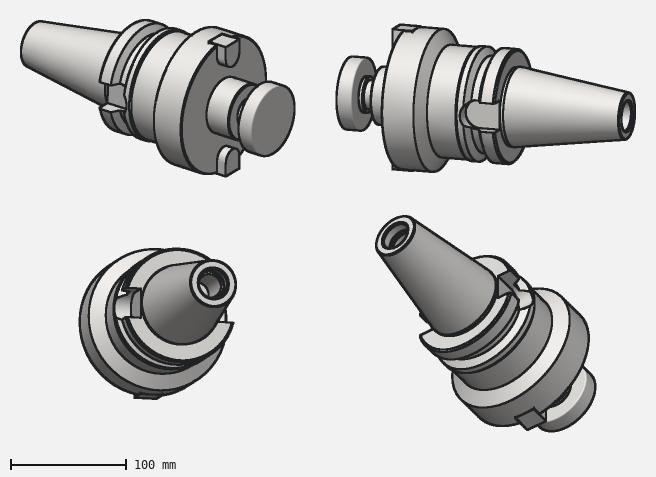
import cadquery as cq

TAPER_END = 101.2
RELIEF_START = 102.8
FLANGE_START = 104.3
GROOVE_START = 117.4
GROOVE_END = 132.5
FLANGE_END = 140.0
NECK_END = 166.0
HEAD_START = 173.8
HEAD_END = 203.2
PILOT_END = 227.0
COLLAR_START = 237.5
CAP_START = 241.7
CAP_END = 256.3

TAPER_SMALL_DIA = 41.3
TAPER_LARGE_DIA = 70.0
RELIEF_DIA = 69.2
FLANGE_DIA = 100.0
GROOVE_DIA = 84.8
NECK_DIA = 98.0
HEAD_DIA = 124.0
PILOT_DIA = 50.7

EDGE = 0.8
FLANGE_EDGE = 1.5
GROOVE_FLANK = 4.0

BORE_MOUTH_DIA = 28.0
BORE_DIA = 25.4
SEAT_DIA = 25.0
THREAD_DIA = 20.8
BORE_MOUTH_DEPTH = 1.3
BORE_DEPTH = 9.7
SEAT_DEPTH = 12.0
THREAD_END = 51.3

SLOT_WIDTH = 25.5
SLOT_FLOOR = 35.0
SLOT_END = 135.5

KEY_WIDTH = 19.7
KEY_START = 194.0
KEY_END = 212.5
KEY_INNER = 39.7
KEY_OUTER = HEAD_DIA / 2

SHANK_DIA = 25.4
SHANK_START = 201.5
COLLAR_DIA = 32.0
COLLAR_EDGE = 0.5
CAP_DIA = 63.5
CAP_ROUND = 1.3


def turned(stations):
    """Revolve a list of (x, diameter) stations about the X axis into a solid."""
    profile = cq.Workplane("XY").moveTo(stations[0][0], 0)
    for x, diameter in stations:
        profile = profile.lineTo(x, diameter / 2)
    profile = profile.lineTo(stations[-1][0], 0).close()
    return profile.revolve(360, (0, 0, 0), (1, 0, 0))


def make_holder_blank():
    return turned([
        (0, TAPER_SMALL_DIA - 2 * EDGE),
        (EDGE, TAPER_SMALL_DIA),
        (TAPER_END, TAPER_LARGE_DIA),
        (RELIEF_START, RELIEF_DIA),
        (FLANGE_START, RELIEF_DIA),
        (FLANGE_START, FLANGE_DIA - 2 * FLANGE_EDGE),
        (FLANGE_START + FLANGE_EDGE, FLANGE_DIA),
        (GROOVE_START, FLANGE_DIA),
        (GROOVE_START + GROOVE_FLANK, GROOVE_DIA),
        (GROOVE_END - GROOVE_FLANK, GROOVE_DIA),
        (GROOVE_END, FLANGE_DIA),
        (FLANGE_END - FLANGE_EDGE, FLANGE_DIA),
        (FLANGE_END, NECK_DIA),
        (NECK_END, NECK_DIA),
        (HEAD_START, HEAD_DIA),
        (HEAD_END - EDGE, HEAD_DIA),
        (HEAD_END, HEAD_DIA - 2 * EDGE),
        (HEAD_END, PILOT_DIA),
        (PILOT_END - EDGE, PILOT_DIA),
        (PILOT_END, PILOT_DIA - 2 * EDGE),
    ])


def make_bore():
    """Draw-bar hole: countersunk mouth, plain bore, slightly narrower seat and a blind thread core."""
    return turned([
        (0, BORE_MOUTH_DIA),
        (BORE_MOUTH_DEPTH, BORE_DIA),
        (BORE_DEPTH, BORE_DIA),
        (BORE_DEPTH, SEAT_DIA),
        (SEAT_DEPTH, SEAT_DIA),
        (SEAT_DEPTH, THREAD_DIA),
        (THREAD_END, THREAD_DIA),
    ])


def make_slot(side):
    """Round-ended driving slot on the +Y (side 1) or -Y (side -1) of the flange."""
    radius = SLOT_WIDTH / 2
    end_center = SLOT_END - radius
    depth = FLANGE_DIA / 2 - SLOT_FLOOR
    return (
        cq.Workplane("XZ", origin=(0, side * SLOT_FLOOR, 0))
        .moveTo(FLANGE_START, -radius)
        .lineTo(end_center, -radius)
        .threePointArc((SLOT_END, 0), (end_center, radius))
        .lineTo(FLANGE_START, radius)
        .close()
        .extrude(-side * depth)
    )


def make_key(side):
    """Drive key on the +Z (side 1) or -Z (side -1), with a half-round inner end."""
    half = KEY_WIDTH / 2
    round_center = side * (KEY_INNER + half)
    return (
        cq.Workplane("YZ", origin=(KEY_START, 0, 0))
        .moveTo(-half, side * KEY_OUTER)
        .lineTo(-half, round_center)
        .threePointArc((0, side * KEY_INNER), (half, round_center))
        .lineTo(half, side * KEY_OUTER)
        .close()
        .extrude(KEY_END - KEY_START)
    )


def make_screw():
    """Shank, edge-chamfered collar and round-edged cap in one solid."""
    stem = turned([
        (SHANK_START, SHANK_DIA),
        (COLLAR_START, SHANK_DIA),
        (COLLAR_START, COLLAR_DIA - 2 * COLLAR_EDGE),
        (COLLAR_START + COLLAR_EDGE, COLLAR_DIA),
        (CAP_START - COLLAR_EDGE, COLLAR_DIA),
        (CAP_START, COLLAR_DIA - 2 * COLLAR_EDGE),
    ])
    cap = turned([(CAP_START, CAP_DIA), (CAP_END, CAP_DIA)])
    cap = cap.edges("%CIRCLE").fillet(CAP_ROUND)
    return stem.union(cap)


SIDES = (1, -1)
keys = [make_key(side) for side in SIDES]
screw = make_screw()

holder = make_holder_blank().cut(make_bore()).cut(screw)
for side in SIDES:
    holder = holder.cut(make_slot(side))
for key in keys:
    holder = holder.cut(key)

result = cq.Compound.makeCompound([holder.val(), *[key.val() for key in keys], screw.val()])